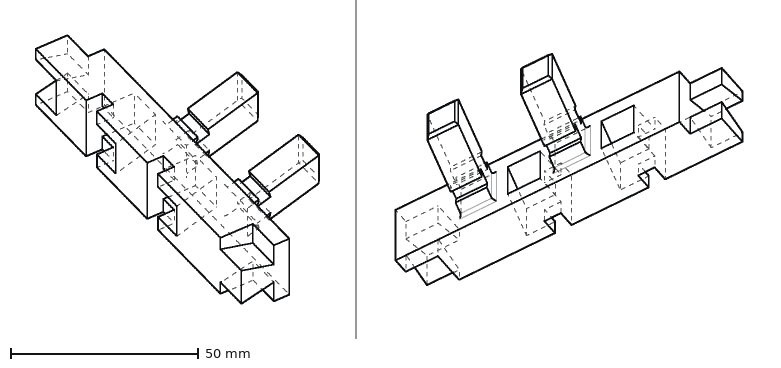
import cadquery as cq
import math

bar_length = 101
bar_depth = 15.2
bar_height = 20.0
slant = math.tan(math.radians(15))

socket_length = 10.1
socket_depth = 10.1
socket_mouth = 12.3
tongue_length = 10.3
tongue_depth = 10.3
tongue_front_width = 11.8

pitch = 30.0
station_count = 2
post_left = 39.9
post_width = 10.0
post_height = 10.0
post_reach = 44.0 - bar_depth
tip_chamfer = 0.9
root_fillet = 0.9
notch_centre = 22.0
notch_mouth = 3.9
notch_depth = 2.1
slot_left = 24.7
slot_width = 5.3
slot_depth = 5.1
window_right = 39.2
window_height = 10.7


def plan_prism(points, height):
    """Extrude an XY outline symmetrically about z = 0."""
    return cq.Workplane("XY").polyline(points).close().extrude(height / 2, both=True)


def side_prism(points, start, length):
    """Extrude a YZ outline along X."""
    return cq.Workplane("YZ", origin=(start, 0, 0)).polyline(points).close().extrude(length)


def dovetail(front_width, depth, start, length):
    """Tapered bar along X, widest on the front face."""
    front_half = front_width / 2
    back_half = front_half - depth * slant
    points = [(0, -front_half), (depth, -back_half), (depth, back_half), (0, front_half)]
    return side_prism(points, start, length)


def make_bar():
    bar = plan_prism(
        [
            (0, 0),
            (bar_length, 0),
            (bar_length, bar_depth),
            (socket_length, bar_depth),
            (socket_length, socket_depth),
            (0, socket_depth),
        ],
        bar_height,
    )
    bar = bar.cut(dovetail(socket_mouth, socket_depth, 0, socket_length))
    tongue_start = bar_length - tongue_length
    tongue_zone = cq.Workplane("XY").box(
        tongue_length, tongue_depth, bar_height, centered=(False, False, True)
    ).translate((tongue_start, 0, 0))
    tongue = dovetail(tongue_front_width, tongue_depth, tongue_start, tongue_length)
    return bar.cut(tongue_zone.cut(tongue))


def add_post(body, offset):
    """Add a leaning post with a filleted root and a chamfered tip."""
    left = post_left + offset
    tip_left = left - post_reach * slant
    post = plan_prism(
        [
            (left, bar_depth),
            (left + post_width, bar_depth),
            (tip_left + post_width, bar_depth + post_reach),
            (tip_left, bar_depth + post_reach),
        ],
        post_height,
    )
    post = post.faces(">Y").chamfer(tip_chamfer)
    body = body.union(post)
    margin = 2 * root_fillet
    root_box = cq.selectors.BoxSelector(
        (left - margin, bar_depth - root_fillet, -post_height),
        (left + post_width + margin, bar_depth + root_fillet, post_height),
    )
    return body.edges(root_box).fillet(root_fillet)


def make_notch(side):
    """Undercut groove across the upper (side = 1) or lower (side = -1) faces of the posts."""
    mouth_half = notch_mouth / 2
    floor_half = mouth_half + notch_depth * slant
    outer = side * post_height / 2
    floor = side * (post_height / 2 - notch_depth)
    points = [
        (notch_centre - mouth_half, outer),
        (notch_centre - floor_half, floor),
        (notch_centre + floor_half, floor),
        (notch_centre + mouth_half, outer),
    ]
    return side_prism(points, 0, bar_length)


def make_opening(offset):
    """Full-height front slot joined to a through window with a leaning right wall."""
    left = slot_left + offset
    right = window_right + offset
    slot = cq.Workplane("XY").box(
        slot_width, slot_depth, bar_height, centered=(False, False, True)
    ).translate((left, 0, 0))
    window = plan_prism(
        [
            (left, 0),
            (right, 0),
            (right - bar_depth * slant, bar_depth),
            (left, bar_depth),
        ],
        window_height,
    )
    return slot.union(window)


result = make_bar()
for station in range(station_count):
    result = add_post(result, station * pitch)
for side in (-1, 1):
    result = result.cut(make_notch(side))
for station in range(station_count):
    result = result.cut(make_opening(station * pitch))